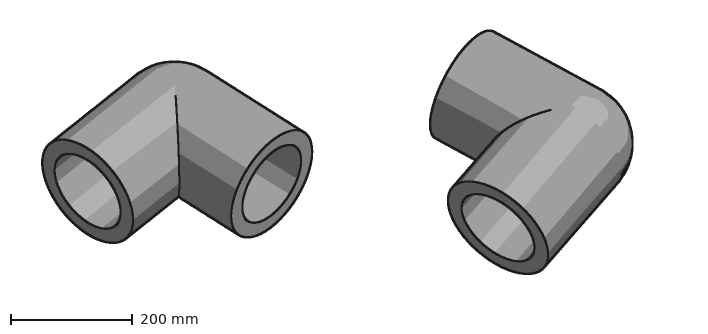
import cadquery as cq

overall_side = 314.0
outer_diameter = 200.0
bore_diameter = 145.0

outer_radius = outer_diameter / 2
bore_radius = bore_diameter / 2
leg_length = overall_side - outer_radius


def elbow_solid(radius):
    """Ball at the origin with one round leg along +X and one along -Y."""
    ball = cq.Workplane("XY").sphere(radius)
    leg_x = cq.Workplane("YZ").circle(radius).extrude(leg_length)
    leg_y = cq.Workplane("XZ").circle(radius).extrude(leg_length)
    return leg_x.union(leg_y).union(ball)


result = elbow_solid(outer_radius).cut(elbow_solid(bore_radius))